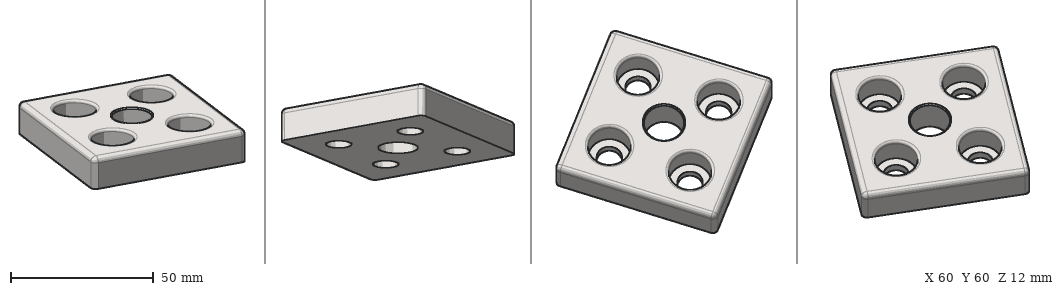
import cadquery as cq
import math

side = 60.0
thickness = 12.0
edge_radius = 2.0

hole_pitch = 30.0
hole_diameter = 9.0
counterbore_diameter = 15.0
counterbore_depth = 9.0
rim_radius = 1.0

center_diameter = 14.0
center_chamfer = 0.5


def rounded_plate():
    """Square plate with its base on Z = 0, rounded on the upright and top edges."""
    plate = cq.Workplane("XY").box(side, side, thickness, centered=(True, True, False))
    return plate.edges("|Z or >Z").fillet(edge_radius)


def counterbored_hole_cutter():
    """Stepped hole about the Z axis, flaring out to the top face with a round rim."""
    bore_radius = counterbore_diameter / 2
    rim_bend = rim_radius * (1 - math.cos(math.radians(45)))
    return (
        cq.Workplane("XZ")
        .lineTo(hole_diameter / 2, 0)
        .lineTo(hole_diameter / 2, thickness - counterbore_depth)
        .lineTo(bore_radius, thickness - counterbore_depth)
        .lineTo(bore_radius, thickness - rim_radius)
        .threePointArc(
            (bore_radius + rim_bend, thickness - rim_bend),
            (bore_radius + rim_radius, thickness),
        )
        .lineTo(0, thickness)
        .close()
        .revolve(360, (0, 0, 0), (0, 1, 0))
    )


def center_hole_cutter():
    """Through hole about the Z axis with a chamfered top rim."""
    radius = center_diameter / 2
    return (
        cq.Workplane("XZ")
        .lineTo(radius, 0)
        .lineTo(radius, thickness - center_chamfer)
        .lineTo(radius + center_chamfer, thickness)
        .lineTo(0, thickness)
        .close()
        .revolve(360, (0, 0, 0), (0, 1, 0))
    )


result = rounded_plate().cut(center_hole_cutter())
for x_sign in (-1, 1):
    for y_sign in (-1, 1):
        corner_hole = counterbored_hole_cutter().translate(
            (x_sign * hole_pitch / 2, y_sign * hole_pitch / 2, 0)
        )
        result = result.cut(corner_hole)